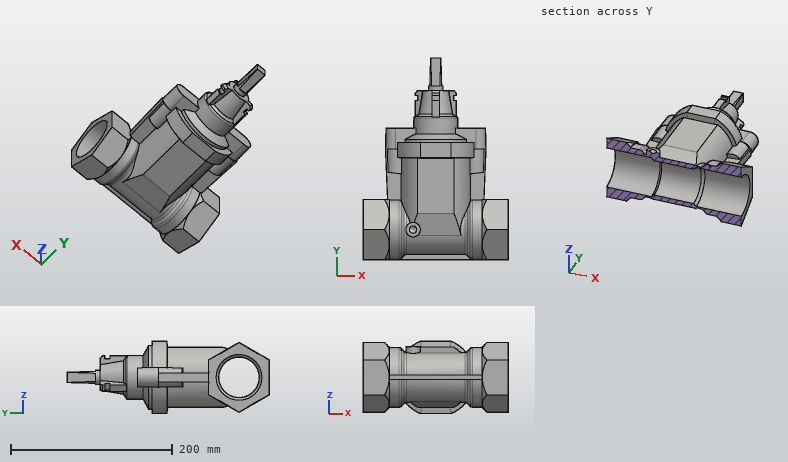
import cadquery as cq
import math


longest_side = 250.5

overall_length = 180.0
half_length = overall_length / 2
hex_across_flats = 75.2
hex_circumradius = hex_across_flats / math.sqrt(3)
hex_inner_x = 57.5
tube_radius = 31.0
collar_radius = 37.0
collar_blend_x = 45.5
collar_blend_radius = 4.3
bore_radius = 49.8 / 2
bore_mouth_radius = 56.5 / 2
bore_mouth_depth = 60.0
bore_taper_length = 3.5

body_radius = 43.5
body_flat_z = 37.3
slope_start_y = 20.3
slope_end_y = -7.5

flange_radius = 48.8
flange_flat_z = 90.0 / 2
flange_top_y = 107.7
joint_y = 100.0
flange_rim_y = 89.5
flange_root_y = 88.2

shoulder_radius = 39.8
shoulder_top_y = 112.0
neck_base_y = 118.7
neck_radius = 54.5 / 2
neck_top_y = 138.0
neck_round = 2.3
gland_base_radius = 21.0
gland_base_y = 143.3
gland_top_radius = 16.3
gland_top_y = 172.0

lug_count = 3
lug_width = 8.8
lug_radius = 26.8
lug_bottom_y = 139.3
lug_chamfer = 3.0
lug_groove_top_y = 166.0
lug_groove_bottom_y = 160.0
lug_groove_radius = 23.3

spindle_radius = 18.0 / 2
square_base_y = 178.0
square_base_width = 15.0
square_tip_width = 13.0
spindle_tip_y = longest_side - hex_across_flats / 2

ear_x = 50.0
ear_radius = 12.3
ear_top_y = 125.8
ear_draft = 1.0
post_x = 48.8
post_bottom_y = 69.1
post_bottom_rise = 2.3

web_thickness = 11.0
web_top_x = ear_x + ear_radius
web_bottom_x = 59.9
keel_thickness = 5.3
keel_y = -37.3

boss_x = -28.0
boss_radius = 18.0 / 2
boss_top_z = 38.0
dimple_radius = 4.5
dimple_depth = 2.5


def revolve_about_x(profile):
    return profile.close().revolve(360, (0, 0, 0), (1, 0, 0))


def revolve_about_y(profile):
    return profile.close().revolve(360, (0, 0, 0), (0, 1, 0))


def cylinder_along_y(radius, y_start, y_end):
    return cq.Workplane("XZ", origin=(0, y_end, 0)).circle(radius).extrude(y_end - y_start)


def pipe_run():
    """Central tube with a blended collar at each end."""
    bend = collar_blend_radius
    reach = bend * math.sin(math.pi / 4)
    drop = bend - reach
    half_bend = math.pi / 8
    slope_run = collar_radius - tube_radius - 2 * drop
    outer_x = collar_blend_x - reach
    inner_x = outer_x - slope_run
    foot_x = inner_x - reach
    mid_reach = bend * math.sin(half_bend)
    mid_drop = bend * (1 - math.cos(half_bend))
    half_run = revolve_about_x(
        cq.Workplane("XY")
        .lineTo(0, tube_radius)
        .lineTo(foot_x, tube_radius)
        .threePointArc((foot_x + mid_reach, tube_radius + mid_drop), (inner_x, tube_radius + drop))
        .lineTo(outer_x, collar_radius - drop)
        .threePointArc(
            (collar_blend_x - mid_reach, collar_radius - mid_drop), (collar_blend_x, collar_radius)
        )
        .lineTo(half_length, collar_radius)
        .lineTo(half_length, 0)
    )
    return half_run.union(half_run.mirror("YZ"))


def hex_end():
    """Hexagonal pipe end on the +X side, chamfered toward the body."""
    hexagon = (
        cq.Workplane("YZ", origin=(hex_inner_x, 0, 0))
        .transformed(rotate=(0, 0, 90))
        .polygon(6, 2 * hex_circumradius)
        .extrude(half_length - hex_inner_x)
    )
    chamfer_size = hex_circumradius - hex_across_flats / 2
    chamfer_envelope = revolve_about_x(
        cq.Workplane("XY")
        .moveTo(hex_inner_x, 0)
        .lineTo(hex_inner_x, hex_across_flats / 2)
        .lineTo(hex_inner_x + chamfer_size, hex_circumradius)
        .lineTo(half_length, hex_circumradius)
        .lineTo(half_length, 0)
    )
    return hexagon.intersect(chamfer_envelope)


def bore():
    """Through bore with a wider, straight mouth and a short taper at each end."""
    mouth_x = half_length - bore_mouth_depth
    seat_x = mouth_x - bore_taper_length
    return revolve_about_x(
        cq.Workplane("XY")
        .moveTo(-half_length, 0)
        .lineTo(-half_length, bore_mouth_radius)
        .lineTo(-mouth_x, bore_mouth_radius)
        .lineTo(-seat_x, bore_radius)
        .lineTo(seat_x, bore_radius)
        .lineTo(mouth_x, bore_mouth_radius)
        .lineTo(half_length, bore_mouth_radius)
        .lineTo(half_length, 0)
    )


def body():
    """Flat-sided round body that slopes down onto the tube."""
    slope_end_z = math.sqrt(tube_radius**2 - slope_end_y**2)
    side_outline = (
        cq.Workplane("YZ", origin=(-body_radius, 0, 0))
        .moveTo(joint_y, body_flat_z)
        .lineTo(slope_start_y, body_flat_z)
        .lineTo(slope_end_y, slope_end_z)
        .lineTo(slope_end_y, -slope_end_z)
        .lineTo(slope_start_y, -body_flat_z)
        .lineTo(joint_y, -body_flat_z)
        .close()
        .extrude(2 * body_radius)
    )
    return cylinder_along_y(body_radius, slope_end_y, joint_y).intersect(side_outline)


def flange():
    """Round flange with two flats and a shallow sloping underside."""
    underside_run = flange_flat_z - body_flat_z
    disc = cylinder_along_y(flange_radius, flange_root_y, flange_top_y)
    side_outline = (
        cq.Workplane("YZ", origin=(-flange_radius, 0, 0))
        .moveTo(flange_top_y, flange_flat_z)
        .lineTo(flange_rim_y, flange_flat_z)
        .lineTo(flange_root_y, body_flat_z)
        .lineTo(flange_root_y, -body_flat_z)
        .lineTo(flange_rim_y, -flange_flat_z)
        .lineTo(flange_top_y, -flange_flat_z)
        .close()
        .extrude(2 * flange_radius)
    )
    underside = revolve_about_y(
        cq.Workplane("XY")
        .moveTo(0, flange_root_y)
        .lineTo(flange_radius - underside_run, flange_root_y)
        .lineTo(flange_radius, flange_rim_y)
        .lineTo(flange_radius, flange_top_y)
        .lineTo(0, flange_top_y)
    )
    return disc.intersect(side_outline).intersect(underside)


def bonnet():
    """Turned shoulder, neck and tapered gland."""
    return revolve_about_y(
        cq.Workplane("XY")
        .moveTo(0, joint_y)
        .lineTo(shoulder_radius, joint_y)
        .lineTo(shoulder_radius, shoulder_top_y)
        .lineTo(neck_radius, neck_base_y)
        .lineTo(neck_radius, neck_top_y)
        .radiusArc((neck_radius - neck_round, neck_top_y + neck_round), -neck_round)
        .lineTo(gland_base_radius, gland_base_y)
        .lineTo(gland_top_radius, gland_top_y)
        .lineTo(0, gland_top_y)
    )


def snap_lug(angle):
    """Radial lug with an outer groove, turned about the Y axis."""
    lug = (
        cq.Workplane("YZ", origin=(-lug_width / 2, 0, 0))
        .moveTo(lug_bottom_y, 0)
        .lineTo(lug_bottom_y, lug_radius)
        .lineTo(lug_groove_bottom_y, lug_radius)
        .lineTo(lug_groove_bottom_y, lug_groove_radius)
        .lineTo(lug_groove_top_y, lug_groove_radius)
        .lineTo(lug_groove_top_y, lug_radius)
        .lineTo(gland_top_y - lug_chamfer, lug_radius)
        .lineTo(gland_top_y, lug_radius - lug_chamfer)
        .lineTo(gland_top_y, 0)
        .close()
        .extrude(lug_width)
    )
    return lug.rotate((0, 0, 0), (0, 1, 0), angle)


def spindle():
    """Round spindle ending in a square that narrows toward the tip."""
    shank = cylinder_along_y(spindle_radius, gland_base_y, square_base_y)
    square_length = spindle_tip_y - square_base_y
    square = (
        cq.Workplane("XZ", origin=(0, spindle_tip_y, 0))
        .rect(square_tip_width, square_tip_width)
        .workplane(offset=square_length)
        .rect(square_base_width, square_base_width)
        .loft(ruled=True)
    )
    return shank.union(square.intersect(cylinder_along_y(spindle_radius, square_base_y, spindle_tip_y)))


def ears():
    """Round-ended ears on the bonnet over drafted round posts with slanted feet on the body."""
    upper = (
        cq.Workplane("XZ", origin=(0, joint_y, 0))
        .slot2D(2 * (ear_x + ear_radius), 2 * ear_radius)
        .extrude(joint_y - ear_top_y, taper=ear_draft)
    )
    posts = (
        cq.Workplane("XZ", origin=(0, joint_y, 0))
        .pushPoints([(-post_x, 0), (post_x, 0)])
        .circle(ear_radius)
        .extrude(joint_y - post_bottom_y, taper=ear_draft)
    )
    slanted_feet = (
        cq.Workplane("XY", origin=(0, 0, -ear_radius))
        .moveTo(-web_top_x, joint_y)
        .lineTo(-web_top_x, post_bottom_y + post_bottom_rise)
        .lineTo(-body_radius, post_bottom_y)
        .lineTo(body_radius, post_bottom_y)
        .lineTo(web_top_x, post_bottom_y + post_bottom_rise)
        .lineTo(web_top_x, joint_y)
        .close()
        .extrude(2 * ear_radius)
    )
    return upper.union(posts.intersect(slanted_feet))


def side_web():
    """Flat web in the XY plane joining the ears to the hexagonal ends."""
    return (
        cq.Workplane("XY")
        .moveTo(-web_top_x, joint_y)
        .lineTo(-web_bottom_x, hex_across_flats / 2)
        .lineTo(-web_bottom_x, tube_radius)
        .lineTo(web_bottom_x, tube_radius)
        .lineTo(web_bottom_x, hex_across_flats / 2)
        .lineTo(web_top_x, joint_y)
        .close()
        .extrude(web_thickness / 2, both=True)
    )


def keel():
    """Thin rib along the underside of the pipe run."""
    keel_height = -keel_y - bore_radius
    center = (0, keel_y + keel_height / 2, 0)
    return cq.Workplane("XY", origin=center).box(2 * hex_inner_x, keel_height, keel_thickness)


def drain_boss():
    """Drain boss on the +Z side of the tube, with the conical dimple to cut into its top."""
    boss_base_z = bore_radius
    boss = (
        cq.Workplane("XY", origin=(boss_x, 0, boss_base_z))
        .circle(boss_radius)
        .extrude(boss_top_z - boss_base_z)
    )
    dimple_center = cq.Vector(boss_x, 0, boss_top_z)
    dimple = cq.Solid.makeCone(dimple_radius, 0, dimple_depth, dimple_center, cq.Vector(0, 0, -1))
    return boss, cq.Workplane(dimple)


drain, drain_dimple = drain_boss()
right_hex = hex_end()

valve = pipe_run().union(right_hex).union(right_hex.mirror("YZ"))
for feature in (body(), flange(), bonnet(), spindle(), ears(), side_web(), keel(), drain):
    valve = valve.union(feature)
for index in range(lug_count):
    valve = valve.union(snap_lug(index * 360 / lug_count))

result = valve.cut(drain_dimple).cut(bore())